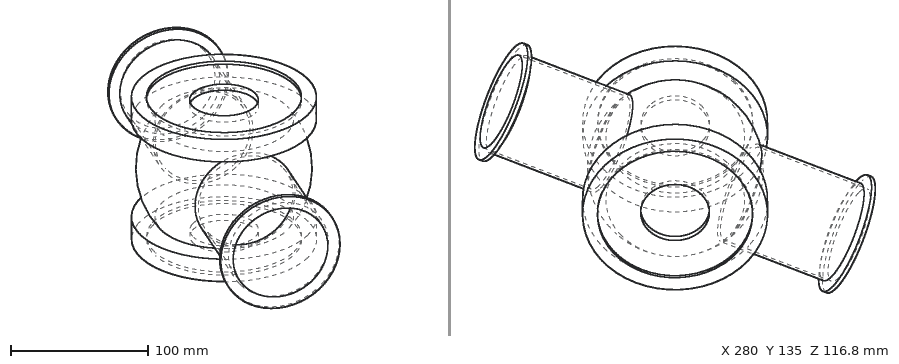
import cadquery as cq
import math

length = 280.0
height = 116.8

body_diameter = 128.8

pipe_outer_diameter = 76.2
pipe_bore_diameter = 72.2
ferrule_diameter = 91.0
ferrule_rim_width = 3.0
ferrule_width = 5.5

flange_diameter = 135.0
flange_thickness = 18.5
recess_diameter = 113.0
recess_depth = 2.5
window_diameter = 50.0
window_depth = 5.0


def make_core():
    """Spherical body with both flanges, revolved about Z."""
    body_radius = body_diameter / 2
    flange_radius = flange_diameter / 2
    recess_radius = recess_diameter / 2
    window_radius = window_diameter / 2
    top_z = height / 2
    recess_z = top_z - recess_depth
    window_z = recess_z - window_depth
    seat_z = top_z - flange_thickness
    seat_radius = math.sqrt(body_radius**2 - seat_z**2)
    profile = (
        cq.Workplane("YZ")
        .moveTo(0, window_z)
        .lineTo(window_radius, window_z)
        .lineTo(window_radius, recess_z)
        .lineTo(recess_radius, recess_z)
        .lineTo(recess_radius, top_z)
        .lineTo(flange_radius, top_z)
        .lineTo(flange_radius, seat_z)
        .lineTo(seat_radius, seat_z)
        .threePointArc((body_radius, 0), (seat_radius, -seat_z))
        .lineTo(flange_radius, -seat_z)
        .lineTo(flange_radius, -top_z)
        .lineTo(recess_radius, -top_z)
        .lineTo(recess_radius, -recess_z)
        .lineTo(window_radius, -recess_z)
        .lineTo(window_radius, -window_z)
        .lineTo(0, -window_z)
        .close()
    )
    return profile.revolve(360, (0, 0, 0), (0, 1, 0))


def make_pipe():
    """Full-length hollow pipe along X, flaring into a ferrule at each end."""
    pipe_radius = pipe_outer_diameter / 2
    bore_radius = pipe_bore_diameter / 2
    ferrule_radius = ferrule_diameter / 2
    end_x = length / 2
    rim_x = end_x - ferrule_rim_width
    flare_x = end_x - ferrule_width
    profile = (
        cq.Workplane("XY")
        .moveTo(-end_x, bore_radius)
        .lineTo(end_x, bore_radius)
        .lineTo(end_x, ferrule_radius)
        .lineTo(rim_x, ferrule_radius)
        .lineTo(flare_x, pipe_radius)
        .lineTo(-flare_x, pipe_radius)
        .lineTo(-rim_x, ferrule_radius)
        .lineTo(-end_x, ferrule_radius)
        .close()
    )
    return profile.revolve(360, (0, 0, 0), (1, 0, 0))


result = make_core().union(make_pipe())